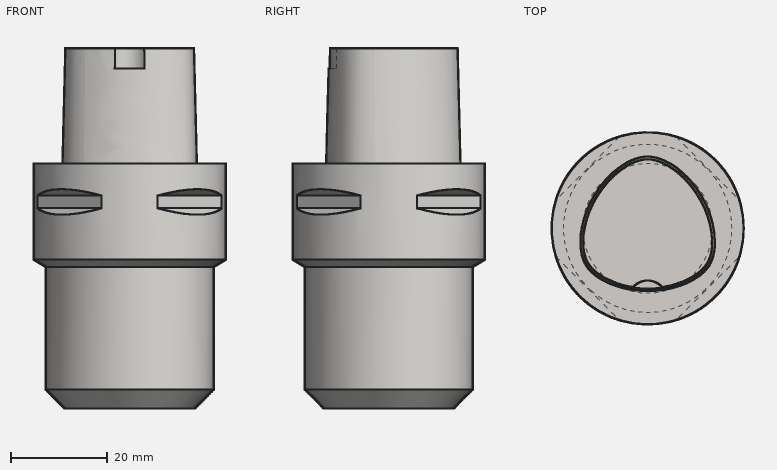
import cadquery as cq
import math

TOTAL_HEIGHT = 75.0
SHANK_LENGTH = 24.0
FLANGE_HEIGHT = 20.0
FLANGE_UNDERCUT_HEIGHT = 1.5
FLANGE_TOP = TOTAL_HEIGHT - SHANK_LENGTH
FLANGE_BOTTOM = FLANGE_TOP - FLANGE_HEIGHT

FLANGE_RADIUS = 20.0
BODY_RADIUS = 17.5
BOTTOM_CHAMFER = 4.0

SHANK_BASE_WIDTH = 28.0
SHANK_TAPER = 1 / 20
SHANK_TOP_WIDTH = SHANK_BASE_WIDTH - SHANK_TAPER * SHANK_LENGTH
LOBE_COUNT = 3
LOBE_HEIGHT = 0.95
LOBE_DIRECTION = math.radians(90)
SIDE_COUNT = 2 * LOBE_COUNT
SPANS_PER_SIDE = 8

NOTCH_RADIUS = 4.0
NOTCH_DEPTH = 4.3
NOTCH_INNERMOST_Y = -10.85

SLOT_COUNT = 4
SLOT_FIRST_ANGLE = 45.0
SLOT_DROP = 8.0
SLOT_CENTRE_HEIGHT = FLANGE_TOP - SLOT_DROP
SLOT_FLOOR_DISTANCE = 17.65
SLOT_FLOOR_HEIGHT = 2.6
SLOT_WALL_ANGLE = 30.0

CLEARANCE = 1.0


def make_body():
    """Turned body: chamfered cylinder below a wider flange."""
    return (
        cq.Workplane("XZ")
        .lineTo(BODY_RADIUS - BOTTOM_CHAMFER, 0)
        .lineTo(BODY_RADIUS, BOTTOM_CHAMFER)
        .lineTo(BODY_RADIUS, FLANGE_BOTTOM - FLANGE_UNDERCUT_HEIGHT)
        .lineTo(FLANGE_RADIUS, FLANGE_BOTTOM)
        .lineTo(FLANGE_RADIUS, FLANGE_TOP)
        .lineTo(0, FLANGE_TOP)
        .close()
        .revolve(360, (0, 0, 0), (0, 1, 0))
    )


def lobed_point(width, normal_angle, z):
    """Point of the lobed outline whose outward normal has the given angle."""
    phase = LOBE_COUNT * (normal_angle - LOBE_DIRECTION)
    reach = width / 2 + LOBE_HEIGHT * math.cos(phase)
    slide = -LOBE_COUNT * LOBE_HEIGHT * math.sin(phase)
    x = reach * math.cos(normal_angle) - slide * math.sin(normal_angle)
    y = reach * math.sin(normal_angle) + slide * math.cos(normal_angle)
    return cq.Vector(x, y, z)


def lobed_wire(width, z):
    """Closed outline of the shank, one spline per lobe or flank."""
    side_angle = 2 * math.pi / SIDE_COUNT
    sides = []
    for side in range(SIDE_COUNT):
        start = side * side_angle
        angles = [start + side_angle * i / SPANS_PER_SIDE for i in range(SPANS_PER_SIDE + 1)]
        points = [lobed_point(width, angle, z) for angle in angles]
        tangents = [
            cq.Vector(-math.sin(angle), math.cos(angle), 0)
            for angle in (angles[0], angles[-1])
        ]
        sides.append(cq.Edge.makeSpline(points, tangents=tangents))
    return cq.Wire.assembleEdges(sides)


def make_shank():
    """Shank running straight from its wide base to its narrower top."""
    base = lobed_wire(SHANK_BASE_WIDTH, FLANGE_TOP)
    top = lobed_wire(SHANK_TOP_WIDTH, TOTAL_HEIGHT)
    return cq.Workplane(cq.Solid.makeLoft([base, top], True))


def make_notch():
    """Cylinder that cuts the notch down from the top of the shank."""
    return (
        cq.Workplane("XY")
        .workplane(offset=TOTAL_HEIGHT - NOTCH_DEPTH)
        .center(0, NOTCH_INNERMOST_Y - NOTCH_RADIUS)
        .circle(NOTCH_RADIUS)
        .extrude(NOTCH_DEPTH + CLEARANCE)
    )


def make_slot(angle):
    """Straight bar with sloped walls that cuts one gripper slot."""
    outer_distance = FLANGE_RADIUS + CLEARANCE
    wall_rise = (outer_distance - SLOT_FLOOR_DISTANCE) * math.tan(math.radians(SLOT_WALL_ANGLE))
    floor_half = SLOT_FLOOR_HEIGHT / 2
    mouth_half = floor_half + wall_rise
    return (
        cq.Workplane("XZ")
        .center(0, SLOT_CENTRE_HEIGHT)
        .moveTo(SLOT_FLOOR_DISTANCE, -floor_half)
        .lineTo(outer_distance, -mouth_half)
        .lineTo(outer_distance, mouth_half)
        .lineTo(SLOT_FLOOR_DISTANCE, floor_half)
        .close()
        .extrude(FLANGE_RADIUS, both=True)
        .rotate((0, 0, 0), (0, 0, 1), angle)
    )


result = make_body().union(make_shank()).cut(make_notch())
for slot_index in range(SLOT_COUNT):
    slot_angle = SLOT_FIRST_ANGLE + slot_index * 360 / SLOT_COUNT
    result = result.cut(make_slot(slot_angle))